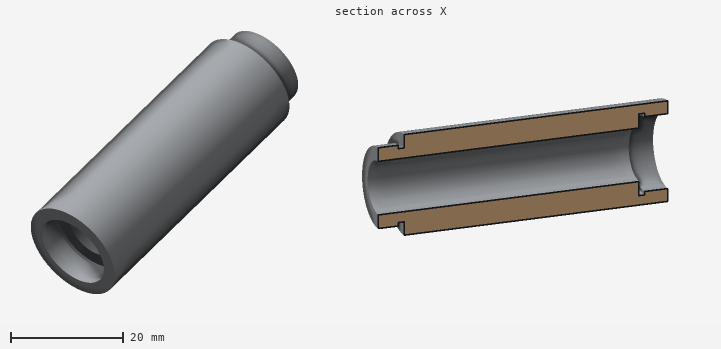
import cadquery as cq

total_length = 55.8
head_length = 3.95
neck_length = 1.0
body_length = total_length - head_length - neck_length

body_diameter = 19.0
neck_diameter = 14.0
head_diameter = 15.3
bore_diameter = 10.0

socket_diameter = 14.0
socket_depth = 5.5
groove_diameter = 15.3
groove_width = 1.0


def cylinder(diameter, start, length):
    """Cylinder about the Y axis, running from start towards +Y."""
    plane = cq.Workplane("XZ", origin=(0, start, 0))
    return plane.circle(diameter / 2).extrude(-length)


front = -total_length / 2
neck_start = front + body_length
head_start = neck_start + neck_length
outside = (
    cylinder(body_diameter, front, body_length)
    .union(cylinder(neck_diameter, neck_start, neck_length))
    .union(cylinder(head_diameter, head_start, head_length))
)

groove_start = front + socket_depth - groove_width
result = (
    outside.cut(cylinder(bore_diameter, front, total_length))
    .cut(cylinder(socket_diameter, front, socket_depth))
    .cut(cylinder(groove_diameter, groove_start, groove_width))
)